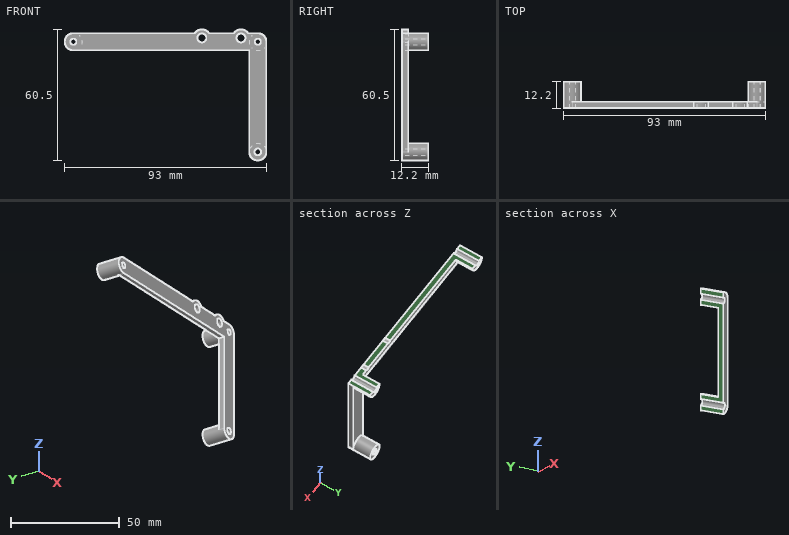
import cadquery as cq

post_diameter = 8.0
post_length = 12.25
arm_thickness = 3.0
arm_width = post_diameter
horizontal_span = 85.0
vertical_span = 50.75

upper_post_hole = 2.7
lower_post_hole = 3.0

ear_diameter = 8.0
ear_hole = 4.0
ear_rise = 1.75
near_ear_offset = 7.75
ear_count = 2
ear_spacing = 18.0

corner = (0.0, 0.0)
arm_end = (-horizontal_span, 0.0)
leg_end = (0.0, -vertical_span)
ears = [(-near_ear_offset - i * ear_spacing, ear_rise) for i in range(ear_count)]

posts = [
    (corner, upper_post_hole),
    (arm_end, upper_post_hole),
    (leg_end, lower_post_hole),
]


def cylinder(center, diameter, length):
    """Cylinder along +Y, starting on the front face, at an (x, z) centre."""
    x, z = center
    return cq.Workplane("XZ").center(x, z).circle(diameter / 2).extrude(-length)


def arm(start, end):
    """Flat bar between two post centres, with its square ends on their axes."""
    length_x = abs(end[0] - start[0])
    length_z = abs(end[1] - start[1])
    middle_x = (start[0] + end[0]) / 2
    middle_z = (start[1] + end[1]) / 2
    return (
        cq.Workplane("XZ")
        .center(middle_x, middle_z)
        .rect(max(length_x, arm_width), max(length_z, arm_width))
        .extrude(-arm_thickness)
    )


body = arm(corner, arm_end).union(arm(corner, leg_end))

for center in ears:
    body = body.union(cylinder(center, ear_diameter, arm_thickness))

for center, _ in posts:
    body = body.union(cylinder(center, post_diameter, post_length))

for center, hole_diameter in posts:
    body = body.cut(cylinder(center, hole_diameter, post_length))
for center in ears:
    body = body.cut(cylinder(center, ear_hole, arm_thickness))

result = body